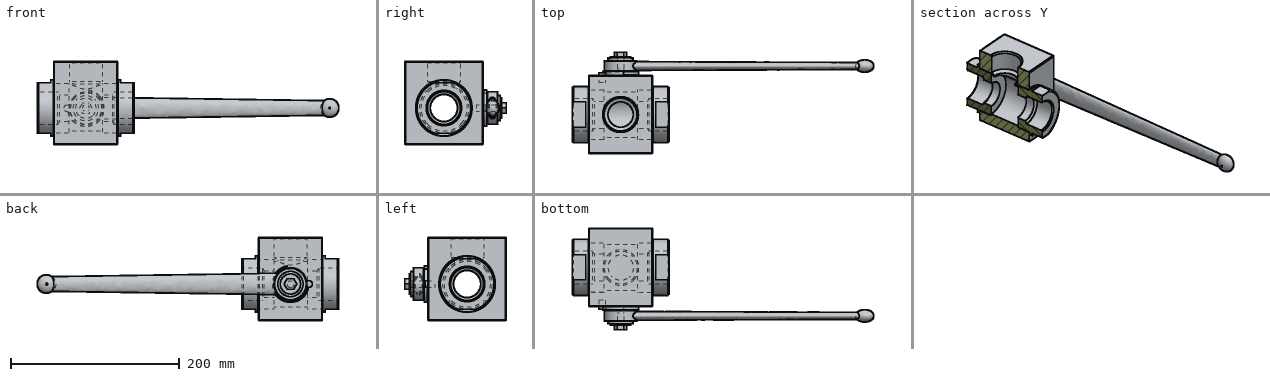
import cadquery as cq
import math


BLOCK_LENGTH = 76.0
BLOCK_DEPTH = 93.0
BLOCK_HEIGHT = 99.0
BLOCK_RAISE = 6.0
BLOCK_CHAMFER = 1.0
BLOCK_TOP = BLOCK_RAISE + BLOCK_HEIGHT / 2
BLOCK_BACK = BLOCK_DEPTH / 2
BLOCK_END = BLOCK_LENGTH / 2

THREAD_DIA = 38.95
THREAD_DEPTH = 24.0
PORT_MOUTH_DIA = 42.0
SIDE_PORT_MOUTH_DIA = 42.5
PORT_CONE_ANGLE = 60.0
BORE_DIA = 32.0
SIDE_BORE_DIA = 30.0
CHAMBER_DIA = 54.5

CONNECTOR_DIA = 67.0
CONNECTOR_FACE_DIA = 63.5
CONNECTOR_CHAMFER = (CONNECTOR_DIA - CONNECTOR_FACE_DIA) / 2
CONNECTOR_REAR_CHAMFER = 0.6
CONNECTOR_LENGTH = 19.5
CONNECTOR_END = BLOCK_END + CONNECTOR_LENGTH
SPIGOT_DIA = 58.5
SPIGOT_LENGTH = 18.0
FLATS_WIDTH = 60.0
FLAT_LENGTH = 16.0

DISC_DIA = 43.5
DISC_THICKNESS = 4.5
DISC_CHAMFER = 0.5
STOP_PIN_DIA = 8.0
STOP_PIN_RADIUS = 22.0
STOP_PIN_HEIGHT = 3.3
STOP_PIN_SEAT = 8.0
LEVER_SWING = 90.0

HUB_DIA = 38.95
HUB_HEIGHT = 13.0
HUB_CHAMFER = 0.7
HUB_BASE = BLOCK_BACK + DISC_THICKNESS
HUB_TOP = HUB_BASE + HUB_HEIGHT
GRIP_ROOT = (26.0, 11.0)
GRIP_TIP = (17.6, 8.7)
GRIP_Y = HUB_BASE + HUB_HEIGHT / 2
KNOB_DIA = 22.0
KNOB_THICKNESS = 15.0
KNOB_END = 300.3
KNOB_X = KNOB_END - KNOB_DIA / 2

LARGE_WASHER_DIA = 30.0
LARGE_WASHER_THICKNESS = 3.0
SMALL_WASHER_DIA = 24.0
SMALL_WASHER_THICKNESS = 1.5
BOLT_DIA = 8.0
BOLT_GRIP = 10.0
BOLT_HEAD_FLATS = 13.0
BOLT_HEAD_HEIGHT = 5.5
LARGE_WASHER_TOP = HUB_TOP + LARGE_WASHER_THICKNESS
SMALL_WASHER_TOP = LARGE_WASHER_TOP + SMALL_WASHER_THICKNESS


def y_cylinder(diameter, start, end):
    """Cylinder on the stem axis between two Y positions."""
    return cq.Workplane("XZ", origin=(0, start, 0)).circle(diameter / 2).extrude(start - end)


def x_cylinder(diameter, start, end):
    """Cylinder on the port axis between two X positions."""
    return cq.Workplane("YZ", origin=(start, 0, 0)).circle(diameter / 2).extrude(end - start)


def port_tool(face, mouth_dia, bore_dia):
    """Port along Z, from its face downwards: chamfered mouth, thread, cone, and bore to the origin."""
    thread_r = THREAD_DIA / 2
    mouth_r = mouth_dia / 2
    bore_r = bore_dia / 2
    cone_length = (thread_r - bore_r) / math.tan(math.radians(PORT_CONE_ANGLE))
    thread_end = face - THREAD_DEPTH
    profile = [
        (0, face),
        (mouth_r, face),
        (thread_r, face - (mouth_r - thread_r)),
        (thread_r, thread_end),
        (bore_r, thread_end - cone_length),
        (bore_r, 0),
        (0, 0),
    ]
    return cq.Workplane("XZ").polyline(profile).close().revolve(360, (0, 0, 0), (0, 1, 0))


def make_stop_pin():
    return (
        y_cylinder(STOP_PIN_DIA, BLOCK_BACK - STOP_PIN_SEAT, BLOCK_BACK + STOP_PIN_HEIGHT)
        .translate((-STOP_PIN_RADIUS, 0, 0))
    )


def make_block():
    block = (
        cq.Workplane("XY")
        .box(BLOCK_LENGTH, BLOCK_DEPTH, BLOCK_HEIGHT)
        .translate((0, 0, BLOCK_RAISE))
        .edges()
        .chamfer(BLOCK_CHAMFER)
    )
    block = block.cut(port_tool(BLOCK_TOP, SIDE_PORT_MOUTH_DIA, SIDE_BORE_DIA))
    block = block.cut(x_cylinder(CHAMBER_DIA, -BLOCK_END, BLOCK_END))
    for side in (-1, 1):
        spigot_seat = x_cylinder(SPIGOT_DIA, side * (BLOCK_END - SPIGOT_LENGTH), side * BLOCK_END)
        block = block.cut(spigot_seat)
    return block.cut(make_stop_pin())


def make_connector(turn):
    """Connector on the +X end, turned about Z into place."""
    flange = (
        x_cylinder(CONNECTOR_DIA, BLOCK_END, CONNECTOR_END)
        .faces(">X")
        .chamfer(CONNECTOR_CHAMFER)
        .faces("<X")
        .chamfer(CONNECTOR_REAR_CHAMFER)
    )
    flat_start = CONNECTOR_END - FLAT_LENGTH
    flats = (
        cq.Workplane("XY")
        .box(FLAT_LENGTH, CONNECTOR_DIA, FLATS_WIDTH)
        .translate((flat_start + FLAT_LENGTH / 2, 0, 0))
    )
    lip = x_cylinder(CONNECTOR_DIA, BLOCK_END, flat_start)
    connector = flange.intersect(flats.union(lip))
    connector = connector.union(x_cylinder(SPIGOT_DIA, BLOCK_END - SPIGOT_LENGTH, flat_start))
    port = port_tool(CONNECTOR_END, PORT_MOUTH_DIA, BORE_DIA).rotate((0, 0, 0), (0, 1, 0), 90)
    return connector.cut(port).rotate((0, 0, 0), (0, 0, 1), turn)


def make_stop_disc():
    """Disc with a rim notch that lets the stop pin travel through the lever swing."""
    disc = y_cylinder(DISC_DIA, BLOCK_BACK, HUB_BASE).edges().chamfer(DISC_CHAMFER)
    notch_floor = y_cylinder(2 * STOP_PIN_RADIUS - STOP_PIN_DIA, BLOCK_BACK, HUB_BASE)
    pin_margin = math.degrees(math.asin(STOP_PIN_DIA / 2 / STOP_PIN_RADIUS))
    start = math.radians(180 - LEVER_SWING - pin_margin)
    end = math.radians(180 + pin_margin)
    middle = (start + end) / 2
    reach = DISC_DIA

    def rim_point(angle):
        return (reach * math.cos(angle), reach * math.sin(angle))

    sector = (
        cq.Workplane("XZ", origin=(0, BLOCK_BACK, 0))
        .lineTo(*rim_point(start))
        .threePointArc(rim_point(middle), rim_point(end))
        .close()
        .extrude(-DISC_THICKNESS)
    )
    return disc.cut(sector.cut(notch_floor))


def make_lever():
    """Round hub, tapering oval grip and a flattened knob, all in one piece."""
    hub = y_cylinder(HUB_DIA, HUB_BASE, HUB_TOP).edges().chamfer(HUB_CHAMFER)
    grip = (
        cq.Workplane("YZ", origin=(0, GRIP_Y, 0))
        .ellipse(GRIP_ROOT[1] / 2, GRIP_ROOT[0] / 2)
        .workplane(offset=KNOB_X)
        .ellipse(GRIP_TIP[1] / 2, GRIP_TIP[0] / 2)
        .loft(ruled=True)
    )
    half_thickness = KNOB_THICKNESS / 2
    knob = (
        cq.Workplane("XY", origin=(KNOB_X, GRIP_Y, 0))
        .moveTo(0, -half_thickness)
        .ellipseArc(KNOB_DIA / 2, half_thickness, -90, 90, startAtCurrent=True)
        .close()
        .revolve(360, (0, 0, 0), (0, 1, 0))
    )
    bolt_hole = y_cylinder(BOLT_DIA, HUB_TOP - BOLT_GRIP, HUB_TOP)
    return hub.union(grip).union(knob).cut(bolt_hole)


def make_washer(diameter, start, end):
    return y_cylinder(diameter, start, end).cut(y_cylinder(BOLT_DIA, start, end))


def make_bolt():
    head_corners = BOLT_HEAD_FLATS / math.cos(math.radians(30))
    head = (
        cq.Workplane("XZ", origin=(0, SMALL_WASHER_TOP, 0))
        .polygon(6, head_corners)
        .extrude(-BOLT_HEAD_HEIGHT)
    )
    return head.union(y_cylinder(BOLT_DIA, HUB_TOP - BOLT_GRIP, SMALL_WASHER_TOP))


block = make_block()
connectors = [make_connector(turn) for turn in (0, 180)]
stop_disc = make_stop_disc()
stop_pin = make_stop_pin()
lever = make_lever()
large_washer = make_washer(LARGE_WASHER_DIA, HUB_TOP, LARGE_WASHER_TOP)
small_washer = make_washer(SMALL_WASHER_DIA, LARGE_WASHER_TOP, SMALL_WASHER_TOP)
bolt = make_bolt()

result = cq.Compound.makeCompound([
    block.val(),
    *[connector.val() for connector in connectors],
    stop_disc.val(),
    stop_pin.val(),
    lever.val(),
    large_washer.val(),
    small_washer.val(),
    bolt.val(),
])